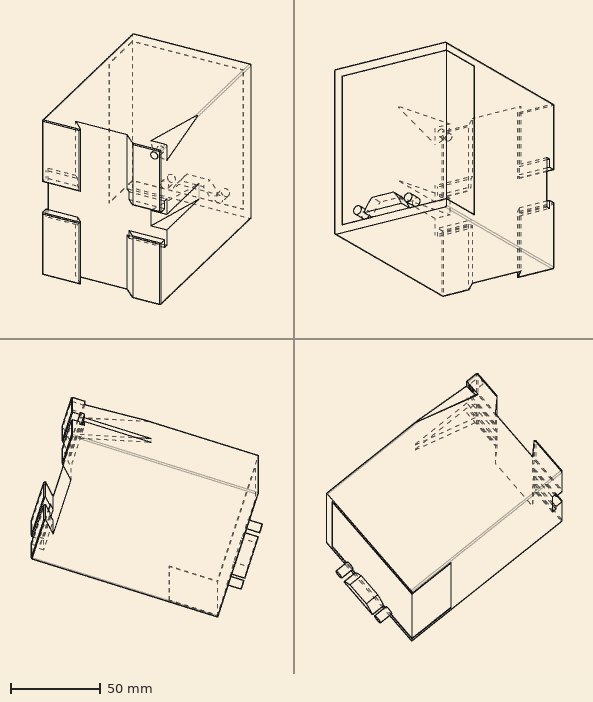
import cadquery as cq
import math

width = 75.0
height = 100.0
total_length = 118.0
connector_length = 8.0
body_length = total_length - connector_length
edge_radius = 1.0
pad_chamfer = 0.6
mid_x = width / 2
mid_z = height / 2

groove_depth = 7.5
groove_left = 17.5
groove_right = 50.0
lip_land = 1.0
flank_x = groove_right + groove_depth
lip_x = groove_left + groove_depth - lip_land

channel_height = 20.1
undercut_height = 30.0
lip_depth = 5.0

recess_depth = 10.0
recess_start = 7.8
recess_end = 46.7
slot_height = 10.0
hole_diameter = 4.5
hole_inset = 4.0

label_depth = 0.2
label_margin = 5.0
label_length = 28.5

connector_bottom = 5.0
connector_height = 8.0
connector_width = 25.0
connector_top_width = 14.4
flank_bulge = 0.5
post_diameter = 5.2
post_spacing = 34.0


def block(x, y, z):
    """Box spanning the given (low, high) pairs."""
    size = [high - low for low, high in (x, y, z)]
    return cq.Workplane("XY").box(*size, centered=False).translate((x[0], y[0], z[0]))


def centered_span(center, length):
    return (center - length / 2, center + length / 2)


def make_groove():
    outline = [
        (lip_x, 0),
        (lip_x, lip_land),
        (groove_left, groove_depth),
        (groove_right, groove_depth),
        (flank_x, 0),
    ]
    return cq.Workplane("XY").polyline(outline).close().extrude(height)


def make_channel():
    mouth = block((0, width), (0, groove_depth), centered_span(mid_z, channel_height))
    undercut = block((0, width), (lip_depth, groove_depth), centered_span(mid_z, undercut_height))
    return mouth.union(undercut)


def make_body():
    """Rounded housing with four rail pads, chamfered except along the open groove flank."""
    body = block((0, width), (0, body_length), (0, height)).edges("|Y").fillet(edge_radius)
    body = body.cut(make_groove()).cut(make_channel())
    pad_edges = body.faces("<Y").edges()
    return pad_edges.filter(lambda edge: abs(edge.Center().x - flank_x) > pad_chamfer).chamfer(pad_chamfer)


def make_release_slot():
    outline = [
        (width, groove_depth),
        (width - recess_depth, groove_depth),
        (width, recess_end),
    ]
    slot = cq.Workplane("XY").polyline(outline).close().extrude(slot_height)
    return slot.translate((0, 0, mid_z - slot_height / 2))


def make_screwdriver_cutout():
    """Cone widening towards the rail along the upper +X edge, met by a round hole."""
    cone = cq.Workplane(
        cq.Solid.makeCone(
            recess_depth, 0, recess_end - recess_start,
            pnt=cq.Vector(width, recess_start, height), dir=cq.Vector(0, 1, 0),
        )
    )
    hole = (
        cq.Workplane("XZ")
        .center(width - hole_inset, height - hole_inset)
        .circle(hole_diameter / 2)
        .extrude(-recess_start)
    )
    return cone.union(hole)


def make_label_recess():
    z = (label_margin, height - label_margin)
    side = block((0, label_depth), (body_length - label_length, body_length), z)
    end = block((0, width - label_margin), (body_length - label_depth, body_length), z)
    return side.union(end)


def make_connector():
    """Tapered shell with bulging flanks between two round posts, all level at the bottom."""
    base_y = body_length - label_depth
    length = total_length - base_y
    half_bottom = connector_width / 2
    half_top = connector_top_width / 2
    flank_run = half_bottom - half_top
    flank_length = math.hypot(flank_run, connector_height)
    bulge_x = (half_bottom + half_top) / 2 + flank_bulge * connector_height / flank_length
    bulge_z = connector_height / 2 + flank_bulge * flank_run / flank_length
    sketch_plane = cq.Workplane("XZ", origin=(mid_x, base_y, connector_bottom))
    shell = (
        sketch_plane.moveTo(-half_bottom, 0)
        .lineTo(half_bottom, 0)
        .threePointArc((bulge_x, bulge_z), (half_top, connector_height))
        .lineTo(-half_top, connector_height)
        .threePointArc((-bulge_x, bulge_z), (-half_bottom, 0))
        .close()
        .extrude(-length)
    )
    post_centers = [(side * post_spacing / 2, post_diameter / 2) for side in (-1, 1)]
    posts = sketch_plane.pushPoints(post_centers).circle(post_diameter / 2).extrude(-length)
    return shell, posts


result = make_body()
for cutter in (
    make_release_slot(),
    make_screwdriver_cutout(),
    make_label_recess(),
):
    result = result.cut(cutter)
for piece in make_connector():
    result = result.union(piece)